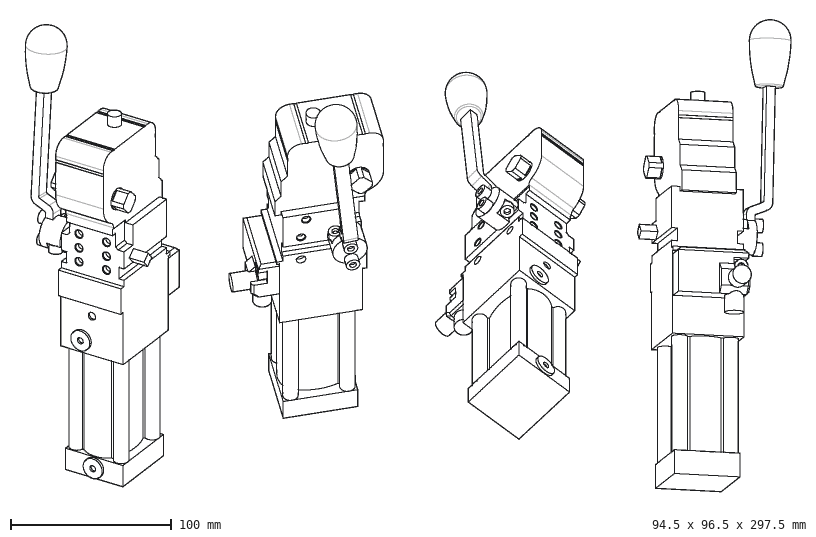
import cadquery as cq
import math


HOUSING_WIDTH = 46.0
HOUSING_HALF_WIDTH = HOUSING_WIDTH / 2
BACK_Y = 26.5
BAND_TOP_Z = 143.7
PLATE_TOP_Z = 182.7
PLATE_FRONT_Y = -15.2
NECK_TOP_Z = 184.0
LIP_FRONT_Y = -29.2
LIP_BACK_Y = 28.3
SCREW_HEAD_D = 8.5
SCREW_HEAD_H = 5.7
SOCKET_D = 4.2
SOCKET_DEPTH = 2.5

CAP_HALF_X = 21.0
CAP_HALF_Y = 23.8
CAP_HEIGHT = 15.2
ROD_D = 9.8
ROD_X = 16.5
ROD_Y = 18.0
LOBE_FRONT_Y = 23.0
LOBE_CORNER_X = 10.0
LOBE_CORNER_Y = 19.3
LOBE_SIDE_X = 15.2
LOBE_SIDE_CORNER_X = 13.0
LOBE_SIDE_CORNER_Y = 12.8

BLOCK_BOTTOM_Z = 88.6
BLOCK_FRONT_Y = -26.5
BAND_BOTTOM_Z = 125.5
PLUG_D = 14.0
PLUG_HEIGHT = 1.8
PLUG_HOLE_D = 4.2
PLUG_HOLE_DEPTH = 1.5
BLOCK_PLUG_X = -7.5
BLOCK_PLUG_Z = 97.5
PORT_Z = 116.3
PORT_D = 5.5
PORT_DEPTH = 1.5

UPPER_BACK_Y = 24.5
UPPER_FRONT_Y = -25.5
GROOVE_BOTTOM_Z = 148.0
GROOVE_TOP_Z = 156.2
GROOVE_HALF_X = 19.3
NECK_HALF_X = 17.0
SHOULDER_Z = 168.5
SHOULDER_CHAMFER = 1.8
LIP_BOTTOM_Z = 179.7

HOLE_DEPTH = 3.5
DRILL_ANGLE = 118.0
TAPPED_D = 5.0
TAPPED_MOUTH_D = 6.0
DOWEL_D = 6.0
LOCATING_D = 5.5
FRONT_HOLE_X = 10.0
FRONT_HOLE_Z = 161.5
FRONT_HOLE_PITCH = 9.8
TAPPED_SIDE_SPOTS = [(9.5, 177.5), (12.8, 162.5)]
DOWEL_SPOT = (12.8, 142.5)
LOCATING_SPOT = (-17.5, 142.5)

SHAFT_SIDE = 6.5
SHAFT_END_X = 34.0
SHAFT_Y = -15.0
SHAFT_Z = 161.0
LEVER_TILT = 5.0
EDGE_UP_TURN = 45.0
SHAFT_TURN = EDGE_UP_TURN - LEVER_TILT

HEAD_HALF_X = 17.5
HEAD_TOP_Z = 240.7
HEAD_BACK_Y = 20.2
HEAD_CORNER_R = 9.0
PIN_Y = -25.0
PIN_Z = 204.5
PIN_D = 14.0
PIN_FLATS = 12.0
PIN_END_X = 26.8
PIN_COLLAR_X = 18.5
NOSE_R = 16.0
HEAD_FRONT_Y = PIN_Y - NOSE_R
NECK_FILLET_R = 4.8
BACK_STEP_Z = 209.5
BACK_LIP_Z = 192.5
SEAM_WIDTH = 1.8
SEAM_DEPTH = 0.3
SEAM_OFFSET = 2.7
BUTTON_D = 9.0
BUTTON_TOP_Z = 248.0

SENSOR_HALF_X = 22.5
SENSOR_TOP_Z = 141.3
SENSOR_BOTTOM_Z = 112.7
SENSOR_BACK_Y = 40.0
SENSOR_CHAMFER = 2.0
SOCKET_BLOCK_RIGHT_X = -4.0
SOCKET_BLOCK_BACK_Y = 44.3
SOCKET_BLOCK_SLOPE = 4.5
SOCKET_BLOCK_CHAMFER = 1.5
SOCKET_BLOCK_STEP_Z = 132.0
NOTCH_BOTTOM_Z = 125.5
NOTCH_TOP_Z = 136.0
NOTCH_DEPTH = 9.5
CONNECTOR_D = 12.0
CONNECTOR_X = -14.3
CONNECTOR_BACK_Y = 55.5
CONNECTOR_BACK_Z = 122.3
CONNECTOR_DOWN_Y = 35.7
CONNECTOR_DOWN_Z = 102.0

HUB_D = 22.0
HUB_LEFT_X = -39.3
HUB_RIGHT_X = -23.8
FACE_SCREW_OFFSET = 7.5
SIDE_SCREW_X = -29.5
SIDE_SCREW_Y = 6.5
SIDE_SCREW_SEAT = 4.2
NOTCH_CLEARANCE = 0.15
BAR_WIDTH = 9.2
BAR_THICK = 5.7
BAR_FOOT_Z = 6.0
GRIP_X = -47.5
BEND_TOP_Z = 20.2
BEND_LOW_Z = 15.8
BEND_OUTER_R = 5.5
BEND_INNER_R = 1.2
KNOB_R = 13.0
KNOB_TOP_Z = 297.5
KNOB_CENTER = (KNOB_TOP_Z - KNOB_R - SHAFT_Z) / math.cos(math.radians(LEVER_TILT))
KNOB_LENGTH = 29.2
KNOB_MID_R = 12.0
KNOB_END_R = 8.5
KNOB_EDGE_R = 1.2


def span_box(x_range, y_range, z_range):
    """Box between two limits along each axis."""
    lows, highs = zip(x_range, y_range, z_range)
    sizes = [high - low for low, high in zip(lows, highs)]
    return cq.Workplane("XY").box(*sizes, centered=False).translate(lows)


def rod(diameter, length, start, direction):
    """Round bar that runs from a start point along a direction."""
    return cq.Workplane(cq.Solid.makeCylinder(diameter / 2, length, cq.Vector(*start), cq.Vector(*direction)))


def drilled_hole(diameter, start, direction):
    """Cutter for a blind hole that ends in a drill point."""
    radius = diameter / 2
    point_length = radius / math.tan(math.radians(DRILL_ANGLE / 2))
    axis = cq.Vector(*direction)
    tip = cq.Vector(*start) + axis * HOLE_DEPTH
    cone = cq.Workplane(cq.Solid.makeCone(radius, 0, point_length, tip, axis))
    return rod(diameter, HOLE_DEPTH, start, direction).union(cone)


def tapped_hole(start, direction):
    """Cutter for a blind hole with a chamfered mouth."""
    mouth_depth = (TAPPED_MOUTH_D - TAPPED_D) / 2
    mouth = cq.Solid.makeCone(
        TAPPED_MOUTH_D / 2, TAPPED_D / 2, mouth_depth, cq.Vector(*start), cq.Vector(*direction)
    )
    return drilled_hole(TAPPED_D, start, direction).union(cq.Workplane(mouth))


def socket_screw(seat, direction):
    """Screw head that stands on its seat, with a round socket in its end."""
    end = cq.Vector(*seat) + cq.Vector(*direction) * (SCREW_HEAD_H - SOCKET_DEPTH)
    socket = rod(SOCKET_D, SOCKET_DEPTH, end.toTuple(), direction)
    return rod(SCREW_HEAD_D, SCREW_HEAD_H, seat, direction).cut(socket)


def extrude_yz(outline, x_start, x_end):
    """Extrude a closed outline in the YZ plane between two X positions."""
    return outline.extrude(x_end - x_start).translate((x_start, 0, 0))



def cylinder_tube():
    """Barrel with four bulging sides, plus a tie rod at each corner."""
    height = BLOCK_BOTTOM_Z - CAP_HEIGHT
    tube = (
        cq.Workplane("XY", origin=(0, 0, CAP_HEIGHT))
        .moveTo(-LOBE_CORNER_X, -LOBE_CORNER_Y)
        .threePointArc((0, -LOBE_FRONT_Y), (LOBE_CORNER_X, -LOBE_CORNER_Y))
        .lineTo(ROD_X, -ROD_Y)
        .lineTo(LOBE_SIDE_CORNER_X, -LOBE_SIDE_CORNER_Y)
        .threePointArc((LOBE_SIDE_X, 0), (LOBE_SIDE_CORNER_X, LOBE_SIDE_CORNER_Y))
        .lineTo(ROD_X, ROD_Y)
        .lineTo(LOBE_CORNER_X, LOBE_CORNER_Y)
        .threePointArc((0, LOBE_FRONT_Y), (-LOBE_CORNER_X, LOBE_CORNER_Y))
        .lineTo(-ROD_X, ROD_Y)
        .lineTo(-LOBE_SIDE_CORNER_X, LOBE_SIDE_CORNER_Y)
        .threePointArc((-LOBE_SIDE_X, 0), (-LOBE_SIDE_CORNER_X, -LOBE_SIDE_CORNER_Y))
        .lineTo(-ROD_X, -ROD_Y)
        .close()
        .extrude(height)
    )
    for x in (-ROD_X, ROD_X):
        for y in (-ROD_Y, ROD_Y):
            tube = tube.union(rod(ROD_D, height, (x, y, CAP_HEIGHT), (0, 0, 1)))
    return tube


def add_plug(body, x, face_y, z):
    """Add a screwed plug with a round socket on a front face."""
    plug = rod(PLUG_D, PLUG_HEIGHT, (x, face_y, z), (0, -1, 0))
    hole = rod(PLUG_HOLE_D, PLUG_HOLE_DEPTH, (x, face_y - PLUG_HEIGHT, z), (0, 1, 0))
    return body.union(plug).cut(hole)


def lower_block():
    """Block over the cylinder, with a thicker band in front and a ledge at the back."""
    full_x = (-HOUSING_HALF_WIDTH, HOUSING_HALF_WIDTH)
    block = span_box(full_x, (BLOCK_FRONT_Y, BACK_Y), (BLOCK_BOTTOM_Z, BAND_TOP_Z))
    band = span_box(full_x, (LIP_FRONT_Y, 0), (BAND_BOTTOM_Z, BAND_TOP_Z))
    ledge = span_box(full_x, (0, LIP_BACK_Y), (SENSOR_TOP_Z, BAND_TOP_Z))
    port = rod(PORT_D, PORT_DEPTH, (0, BLOCK_FRONT_Y, PORT_Z), (0, 1, 0))
    return block.union(band).union(ledge).cut(port)


def upper_block():
    """Grooved block with two side plates and a neck that carries the head."""
    full_x = (-HOUSING_HALF_WIDTH, HOUSING_HALF_WIDTH)
    neck_x = (-NECK_HALF_X, NECK_HALF_X)
    plates = span_box(full_x, (PLATE_FRONT_Y, UPPER_BACK_Y), (BAND_TOP_Z, PLATE_TOP_Z))
    neck = span_box(neck_x, (UPPER_FRONT_Y, PLATE_FRONT_Y), (BAND_TOP_Z, LIP_BOTTOM_Z))
    chamfer_x = NECK_HALF_X + SHOULDER_CHAMFER
    shoulder = (
        cq.Workplane("XZ", origin=(0, PLATE_FRONT_Y, 0))
        .moveTo(-HOUSING_HALF_WIDTH, BAND_TOP_Z)
        .lineTo(-HOUSING_HALF_WIDTH, SHOULDER_Z)
        .lineTo(-chamfer_x, SHOULDER_Z)
        .lineTo(-NECK_HALF_X, SHOULDER_Z + SHOULDER_CHAMFER)
        .lineTo(NECK_HALF_X, SHOULDER_Z + SHOULDER_CHAMFER)
        .lineTo(chamfer_x, SHOULDER_Z)
        .lineTo(HOUSING_HALF_WIDTH, SHOULDER_Z)
        .lineTo(HOUSING_HALF_WIDTH, BAND_TOP_Z)
        .close()
        .extrude(PLATE_FRONT_Y - UPPER_FRONT_Y)
    )
    block = plates.union(shoulder).union(neck)
    for side in (-1, 1):
        groove_x = sorted((side * GROOVE_HALF_X, side * HOUSING_HALF_WIDTH))
        groove = span_box(groove_x, (UPPER_FRONT_Y, UPPER_BACK_Y), (GROOVE_BOTTOM_Z, GROOVE_TOP_Z))
        block = block.cut(groove)
    return block


def drill_housing(body):
    """Cut the two columns of front holes and the holes in the left side."""
    for x in (-FRONT_HOLE_X, FRONT_HOLE_X):
        for row in (-1, 0, 1):
            z = FRONT_HOLE_Z + row * FRONT_HOLE_PITCH
            body = body.cut(tapped_hole((x, UPPER_FRONT_Y, z), (0, 1, 0)))
    for y, z in TAPPED_SIDE_SPOTS:
        body = body.cut(tapped_hole((-HOUSING_HALF_WIDTH, y, z), (1, 0, 0)))
    for diameter, (y, z) in ((DOWEL_D, DOWEL_SPOT), (LOCATING_D, LOCATING_SPOT)):
        body = body.cut(drilled_hole(diameter, (-HOUSING_HALF_WIDTH, y, z), (1, 0, 0)))
    return body


def square_shaft():
    """Square cross shaft that sticks out on both sides of the housing."""
    shaft = cq.Workplane("YZ").rect(SHAFT_SIDE, SHAFT_SIDE).extrude(SHAFT_END_X, both=True)
    return shaft.rotate((0, 0, 0), (1, 0, 0), SHAFT_TURN).translate((0, SHAFT_Y, SHAFT_Z))


def head_shell():
    """Rounded head: a round nose about the pin blends into the straight neck."""
    fillet_y = LIP_FRONT_Y - NECK_FILLET_R
    fillet_z = PIN_Z - math.sqrt((NOSE_R + NECK_FILLET_R) ** 2 - (fillet_y - PIN_Y) ** 2)
    fillet_angle = math.atan2(fillet_z - PIN_Z, fillet_y - PIN_Y)
    nose_mid_angle = (fillet_angle - math.pi) / 2
    blend_angle = math.atan2(PIN_Z - fillet_z, PIN_Y - fillet_y)

    def nose_point(angle):
        return PIN_Y + NOSE_R * math.cos(angle), PIN_Z + NOSE_R * math.sin(angle)

    def fillet_point(angle):
        return fillet_y + NECK_FILLET_R * math.cos(angle), fillet_z + NECK_FILLET_R * math.sin(angle)

    back_step = UPPER_BACK_Y - HEAD_BACK_Y
    back_lip = LIP_BACK_Y - UPPER_BACK_Y
    outline = (
        cq.Workplane("YZ")
        .moveTo(LIP_BACK_Y, LIP_BOTTOM_Z)
        .lineTo(LIP_BACK_Y, BACK_LIP_Z)
        .lineTo(UPPER_BACK_Y, BACK_LIP_Z + back_lip)
        .lineTo(UPPER_BACK_Y, BACK_STEP_Z)
        .lineTo(HEAD_BACK_Y, BACK_STEP_Z + back_step)
        .lineTo(HEAD_BACK_Y, HEAD_TOP_Z - HEAD_CORNER_R)
        .radiusArc((HEAD_BACK_Y - HEAD_CORNER_R, HEAD_TOP_Z), -HEAD_CORNER_R)
        .lineTo(HEAD_FRONT_Y + HEAD_CORNER_R, HEAD_TOP_Z)
        .radiusArc((HEAD_FRONT_Y, HEAD_TOP_Z - HEAD_CORNER_R), -HEAD_CORNER_R)
        .lineTo(HEAD_FRONT_Y, PIN_Z)
        .threePointArc(nose_point(nose_mid_angle), nose_point(fillet_angle))
        .threePointArc(fillet_point(blend_angle / 2), fillet_point(0))
        .lineTo(LIP_FRONT_Y, LIP_BOTTOM_Z)
        .close()
    )
    return extrude_yz(outline, -HEAD_HALF_X, HEAD_HALF_X)


def narrow_neck(head):
    """Step both sides of the head in to the neck width, in front of the side plates."""
    step = HEAD_HALF_X - NECK_HALF_X
    side = (
        cq.Workplane("XZ", origin=(0, PLATE_FRONT_Y, 0))
        .moveTo(NECK_HALF_X, LIP_BOTTOM_Z)
        .lineTo(NECK_HALF_X, NECK_TOP_Z)
        .lineTo(HEAD_HALF_X, NECK_TOP_Z + step)
        .lineTo(HEAD_HALF_X, LIP_BOTTOM_Z)
        .close()
        .extrude(PLATE_FRONT_Y - LIP_FRONT_Y)
    )
    return head.cut(side).cut(side.mirror("YZ"))


def cut_seams(head):
    """Cut shallow seams across the head beside its two rounded top corners."""
    full_x = (-HEAD_HALF_X, HEAD_HALF_X)
    near = HEAD_CORNER_R + SEAM_OFFSET
    far = near + SEAM_WIDTH
    top_z = (HEAD_TOP_Z - SEAM_DEPTH, HEAD_TOP_Z)
    side_z = (HEAD_TOP_Z - far, HEAD_TOP_Z - near)
    head = head.cut(span_box(full_x, (HEAD_FRONT_Y + near, HEAD_FRONT_Y + far), top_z))
    head = head.cut(span_box(full_x, (HEAD_BACK_Y - far, HEAD_BACK_Y - near), top_z))
    head = head.cut(span_box(full_x, (HEAD_FRONT_Y, HEAD_FRONT_Y + SEAM_DEPTH), side_z))
    return head.cut(span_box(full_x, (HEAD_BACK_Y - SEAM_DEPTH, HEAD_BACK_Y), side_z))


def make_head():
    button = rod(BUTTON_D, BUTTON_TOP_Z - HEAD_TOP_Z, (0, 0, HEAD_TOP_Z), (0, 0, 1))
    return cut_seams(narrow_neck(head_shell())).union(button)


def make_housing():
    cap = span_box((-CAP_HALF_X, CAP_HALF_X), (-CAP_HALF_Y, CAP_HALF_Y), (0, CAP_HEIGHT))
    body = cap.union(cylinder_tube()).union(lower_block()).union(upper_block()).union(make_head())
    body = add_plug(body, 0, -CAP_HALF_Y, CAP_HEIGHT / 2)
    body = add_plug(body, BLOCK_PLUG_X, BLOCK_FRONT_Y, BLOCK_PLUG_Z)
    body = drill_housing(body).union(square_shaft())
    return body.cut(rod(PIN_D, 2 * HEAD_HALF_X, (-HEAD_HALF_X, PIN_Y, PIN_Z), (1, 0, 0)))



def make_clamp_pin():
    """Round pin whose two ends have four flats."""
    ends = rod(PIN_D, 2 * PIN_END_X, (-PIN_END_X, 0, 0), (1, 0, 0))
    flats = cq.Workplane("XY").box(2 * PIN_END_X, PIN_FLATS, PIN_FLATS)
    ends = ends.intersect(flats.rotate((0, 0, 0), (1, 0, 0), EDGE_UP_TURN))
    collar = rod(PIN_D, 2 * PIN_COLLAR_X, (-PIN_COLLAR_X, 0, 0), (1, 0, 0))
    return ends.union(collar).translate((0, PIN_Y, PIN_Z))



def make_sensor():
    """Sensor box with a socket block, a fixing screw in a notch and two connectors."""
    plate = span_box(
        (-SENSOR_HALF_X, SENSOR_HALF_X), (BACK_Y, SENSOR_BACK_Y), (SENSOR_BOTTOM_Z, SENSOR_TOP_Z)
    )
    plate = plate.faces(">Z").edges(">Y or <X or >X").chamfer(SENSOR_CHAMFER)
    plate = plate.edges("<X and <Z").chamfer(SOCKET_BLOCK_CHAMFER)
    slope_z = SENSOR_BOTTOM_Z + SOCKET_BLOCK_SLOPE
    outline = (
        cq.Workplane("YZ")
        .moveTo(BACK_Y, SENSOR_BOTTOM_Z)
        .lineTo(SOCKET_BLOCK_BACK_Y - SOCKET_BLOCK_SLOPE, SENSOR_BOTTOM_Z)
        .lineTo(SOCKET_BLOCK_BACK_Y, slope_z)
        .lineTo(SOCKET_BLOCK_BACK_Y, SOCKET_BLOCK_STEP_Z - SOCKET_BLOCK_SLOPE)
        .lineTo(SOCKET_BLOCK_BACK_Y - SOCKET_BLOCK_SLOPE, SOCKET_BLOCK_STEP_Z)
        .lineTo(BACK_Y, SOCKET_BLOCK_STEP_Z)
        .close()
    )
    socket_block = extrude_yz(outline, -SENSOR_HALF_X, SOCKET_BLOCK_RIGHT_X)
    socket_block = socket_block.faces("<X").edges("not (>Z or <Y)").chamfer(SOCKET_BLOCK_CHAMFER)
    body = plate.union(socket_block)

    seat_y = SENSOR_BACK_Y - SCREW_HEAD_H
    notch_x = (-SENSOR_HALF_X, -SENSOR_HALF_X + NOTCH_DEPTH)
    notch = span_box(notch_x, (seat_y, SOCKET_BLOCK_BACK_Y), (NOTCH_BOTTOM_Z, NOTCH_TOP_Z))
    screw_x = -SENSOR_HALF_X + NOTCH_DEPTH / 2
    screw = socket_screw((screw_x, seat_y, (NOTCH_BOTTOM_Z + NOTCH_TOP_Z) / 2), (0, 1, 0))
    body = body.cut(notch).union(screw)

    back_start = (CONNECTOR_X, CONNECTOR_DOWN_Y, CONNECTOR_BACK_Z)
    back = rod(CONNECTOR_D, CONNECTOR_BACK_Y - CONNECTOR_DOWN_Y, back_start, (0, 1, 0))
    down = rod(CONNECTOR_D, CONNECTOR_BACK_Z - CONNECTOR_DOWN_Z, back_start, (0, 0, -1))
    return body.union(back).union(down)



def lever_hub():
    """Round hub with two screws on its end face and two tangential clamping screws."""
    hub = rod(HUB_D, HUB_RIGHT_X - HUB_LEFT_X, (HUB_LEFT_X, 0, 0), (1, 0, 0))
    half = HUB_D / 2
    head_r = SCREW_HEAD_D / 2 + NOTCH_CLEARANCE
    notch = span_box(
        (SIDE_SCREW_X - head_r, HUB_RIGHT_X), (SIDE_SCREW_Y - head_r, half), (SIDE_SCREW_SEAT, half)
    )
    side_screw = socket_screw((SIDE_SCREW_X, SIDE_SCREW_Y, SIDE_SCREW_SEAT), (0, 0, 1))
    for turn in (0, 180):
        hub = hub.cut(notch.rotate((0, 0, 0), (1, 0, 0), turn))
        hub = hub.union(side_screw.rotate((0, 0, 0), (1, 0, 0), turn))
    for z in (-FACE_SCREW_OFFSET, FACE_SCREW_OFFSET):
        hub = hub.union(socket_screw((HUB_LEFT_X, 0, z), (-1, 0, 0)))
    return hub


def lever_bar():
    """Flat bar with an S-bend from the hub out to the grip."""
    foot_right_x = HUB_LEFT_X + BAR_THICK
    grip_left_x = GRIP_X - BAR_THICK / 2
    grip_right_x = GRIP_X + BAR_THICK / 2
    slope = (BEND_TOP_Z - BEND_LOW_Z) / (HUB_LEFT_X + BAR_THICK / 2 - GRIP_X)
    half_rise = BAR_THICK / 2 * math.sqrt(1 + slope ** 2)

    def bend_z(x, side):
        return BEND_TOP_Z - slope * (x - GRIP_X) + side * half_rise

    corners = [
        (grip_left_x, KNOB_CENTER),
        (grip_left_x, bend_z(grip_left_x, -1)),
        (HUB_LEFT_X, bend_z(HUB_LEFT_X, -1)),
        (HUB_LEFT_X, BAR_FOOT_Z),
        (foot_right_x, BAR_FOOT_Z),
        (foot_right_x, bend_z(foot_right_x, 1)),
        (grip_right_x, bend_z(grip_right_x, 1)),
        (grip_right_x, KNOB_CENTER),
    ]
    bar = cq.Workplane("XZ").polyline(corners).close().extrude(BAR_WIDTH / 2, both=True)

    def round_corners(solid, points, radius):
        for x, z in points:
            solid = solid.edges(cq.selectors.NearestToPointSelector((x, 0, z))).fillet(radius)
        return solid

    bar = round_corners(bar, [corners[1], corners[5]], BEND_OUTER_R)
    return round_corners(bar, [corners[2], corners[6]], BEND_INNER_R)


def lever_knob():
    """Hemisphere on a curved, tapering grip."""
    knob = (
        cq.Workplane("XZ")
        .moveTo(0, KNOB_R)
        .radiusArc((KNOB_R, 0), KNOB_R)
        .threePointArc((KNOB_MID_R, -KNOB_LENGTH / 2), (KNOB_END_R, -KNOB_LENGTH))
        .lineTo(0, -KNOB_LENGTH)
        .close()
        .revolve(360, (0, 0, 0), (0, 1, 0))
    )
    knob = knob.faces("<Z").edges().fillet(KNOB_EDGE_R)
    return knob.translate((GRIP_X, 0, KNOB_CENTER))


def make_lever():
    lever = lever_hub().union(lever_bar()).union(lever_knob())
    lever = lever.rotate((0, 0, 0), (1, 0, 0), -LEVER_TILT).translate((0, SHAFT_Y, SHAFT_Z))
    return lever.cut(square_shaft())


housing = make_housing()
clamp_pin = make_clamp_pin()
sensor = make_sensor()
lever = make_lever()

bodies = [housing, clamp_pin, sensor, lever]
result = cq.Compound.makeCompound([body.solids().val() for body in bodies])